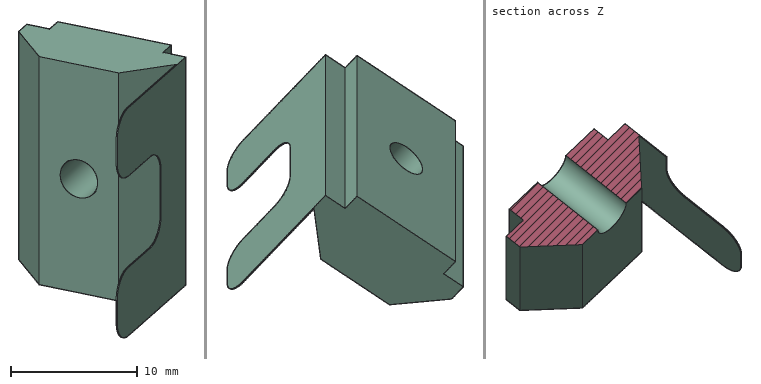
import cadquery as cq

width = 14.0
height = 20.0
chamfer_run = 3.5

neck_depth = 1.5
chamfer_start = 3.0
block_depth = chamfer_start + chamfer_run
total_depth = 14.0
neck_width = 10.0
hole_diameter = 3.3

blade_thickness = 0.1
slot_start = 6.0
slot_height = 8.0
blade_corner_radius = 2.0



def make_block():
    """T-slot nut profile extruded along Z, with a through hole along Y."""
    half_width = width / 2
    half_neck = neck_width / 2
    half_front = half_width - chamfer_run
    right_side = [
        (half_neck, 0),
        (half_neck, -neck_depth),
        (half_width, -neck_depth),
        (half_width, -chamfer_start),
        (half_front, -block_depth),
    ]
    left_side = [(-x, y) for x, y in reversed(right_side)]
    block = (
        cq.Workplane("XY")
        .polyline(right_side + left_side)
        .close()
        .extrude(height / 2, both=True)
    )
    hole = cq.Workplane("XZ").circle(hole_diameter / 2).extrude(block_depth)
    return block.cut(hole)


def blade_rectangle(back_depth, front_depth, rectangle_height):
    """Rectangular plate of blade thickness, flush with the +X side of the block."""
    length = front_depth - back_depth
    return (
        cq.Workplane("XY")
        .box(blade_thickness, length, rectangle_height)
        .translate(((width - blade_thickness) / 2, -(back_depth + front_depth) / 2, 0))
    )


def make_blade():
    """Thin forked plate, rounded at the prong tips and the slot bottom."""
    plate = blade_rectangle(neck_depth, total_depth, height)
    slot = blade_rectangle(slot_start, total_depth, slot_height)
    slot = slot.edges("|X and >Y").fillet(blade_corner_radius)
    return plate.cut(slot).edges("|X and <Y").fillet(blade_corner_radius)


result = make_block().union(make_blade())